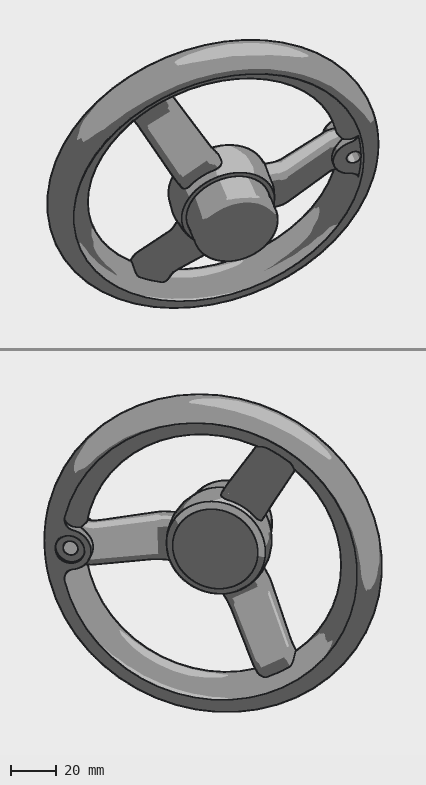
import cadquery as cq
import math


WHEEL_RADIUS = 75.0
RIM_RADIUS = 9.0
RIM_WIDTH = 2 * RIM_RADIUS
RIM_CENTRE = WHEEL_RADIUS - RIM_RADIUS
RIM_INNER = RIM_CENTRE - RIM_RADIUS
INNER_RIM_HALF_WIDTH = 6.5
STEP_ANGLE = 21.0

HUB_FACE_X = 13.5
HUB_RIDGE_X = 14.8
HUB_BULGE_X = 24.0
HUB_SHOULDER_X = 32.1
HUB_BACK_X = 47.0
HUB_FACE_RADIUS = 38.0 / 2
HUB_RIDGE_RADIUS = 22.0
HUB_BULGE_RADIUS = 22.8
HUB_SHOULDER_RADIUS = 21.1
HUB_NECK_RADIUS = HUB_FACE_RADIUS
HUB_BACK_FILLET = 3.0

SPOKE_COUNT = 3
SPOKE_BACK_X = 28.5
SPOKE_DEPTH = 11.0
SPOKE_BACK_SLOPE = 29.0
SPOKE_FACE_SLOPE = 26.5
SPOKE_BEND_RADIUS = 10.5
SPOKE_INNER_BEND = 24.0
SPOKE_OUTER_BEND = 51.3
SPOKE_END = 63.0
SPOKE_HUB_WIDTH = 21.1
SPOKE_RIM_WIDTH = 19.8
SPOKE_EDGE_FILLET = 4.0

BOSS_CENTRE = 62.0
BOSS_DIAMETER = 18.9
BOSS_LENGTH = 16.5
BOSS_BLEND = 5.0
BORE_DIAMETER = 6.6
COUNTERBORE_DIAMETER = 13.0
COUNTERBORE_DEPTH = 1.5


def revolve_about_axis(profile):
    """Close an XY profile (X along the wheel axis, Y radial) and revolve it about X."""
    return profile.close().revolve(360, (0, 0, 0), (1, 0, 0))


def cylinder(diameter, length, offset=0.0):
    """Cylinder along X starting at X = 0, with its axis shifted along Y by the offset."""
    return cq.Workplane("YZ").center(offset, 0).circle(diameter / 2).extrude(length)


def arc_points(centre, radius, angles):
    """Points on a circle at the given angles in degrees."""
    return [
        (
            centre[0] + radius * math.cos(math.radians(angle)),
            centre[1] + radius * math.sin(math.radians(angle)),
        )
        for angle in angles
    ]


def make_rim():
    profile = (
        cq.Workplane("XY")
        .moveTo(0, RIM_CENTRE)
        .threePointArc((RIM_RADIUS, WHEEL_RADIUS), (RIM_WIDTH, RIM_CENTRE))
    )
    step_angle = math.radians(STEP_ANGLE)
    back_step_start = (RIM_WIDTH, RIM_CENTRE)
    back_step_end = (
        RIM_RADIUS + INNER_RIM_HALF_WIDTH * math.cos(step_angle),
        RIM_CENTRE - RIM_RADIUS * math.sin(step_angle),
    )
    ellipse_tangent = (
        INNER_RIM_HALF_WIDTH * math.sin(step_angle),
        RIM_RADIUS * math.cos(step_angle),
    )
    back_step = cq.Edge.makeTangentArc(
        cq.Vector(*back_step_end), cq.Vector(*ellipse_tangent), cq.Vector(*back_step_start)
    )
    step_middle = back_step.positionAt(0.5)
    profile = (
        profile
        .threePointArc((step_middle.x, step_middle.y), back_step_end)
        .ellipseArc(
            INNER_RIM_HALF_WIDTH,
            RIM_RADIUS,
            angle1=180 + STEP_ANGLE,
            angle2=360 - STEP_ANGLE,
            sense=-1,
        )
        .tangentArcPoint((0, RIM_CENTRE), relative=False)
    )
    return revolve_about_axis(profile)


def make_hub():
    profile = (
        cq.Workplane("XY")
        .moveTo(HUB_FACE_X, 0)
        .lineTo(HUB_FACE_X, HUB_FACE_RADIUS)
        .lineTo(HUB_RIDGE_X, HUB_RIDGE_RADIUS)
        .threePointArc((HUB_BULGE_X, HUB_BULGE_RADIUS), (HUB_SHOULDER_X, HUB_SHOULDER_RADIUS))
        .lineTo(HUB_SHOULDER_X, HUB_NECK_RADIUS)
        .lineTo(HUB_BACK_X, HUB_NECK_RADIUS)
        .lineTo(HUB_BACK_X, 0)
    )
    return revolve_about_axis(profile).faces(">X").edges().fillet(HUB_BACK_FILLET)


def spoke_bends(hub_x, slope):
    """Points of the two bends of one spoke surface, from the hub outward."""
    angle = math.radians(slope)
    bend_run = SPOKE_BEND_RADIUS * math.sin(angle)
    bend_drop = SPOKE_BEND_RADIUS * (1 - math.cos(angle))
    slope_run = SPOKE_OUTER_BEND - SPOKE_INNER_BEND - bend_run
    rim_x = hub_x - slope_run * math.tan(angle) - 2 * bend_drop
    inner_centre = (hub_x - SPOKE_BEND_RADIUS, SPOKE_INNER_BEND)
    outer_centre = (rim_x + SPOKE_BEND_RADIUS, SPOKE_OUTER_BEND + bend_run)
    inner = arc_points(inner_centre, SPOKE_BEND_RADIUS, (0, slope / 2, slope))
    outer = arc_points(outer_centre, SPOKE_BEND_RADIUS, (180 + slope, 180 + slope / 2, 180))
    return inner, outer


def make_spoke():
    """Dished spoke along +Y, tapering toward the rim, with rounded long edges."""
    face_hub_x = SPOKE_BACK_X - SPOKE_DEPTH
    back_inner, back_outer = spoke_bends(SPOKE_BACK_X, SPOKE_BACK_SLOPE)
    face_inner, face_outer = spoke_bends(face_hub_x, SPOKE_FACE_SLOPE)
    side_shape = (
        cq.Workplane("XY")
        .moveTo(SPOKE_BACK_X, 0)
        .lineTo(*back_inner[0])
        .threePointArc(back_inner[1], back_inner[2])
        .lineTo(*back_outer[0])
        .threePointArc(back_outer[1], back_outer[2])
        .lineTo(back_outer[2][0], SPOKE_END)
        .lineTo(face_outer[2][0], SPOKE_END)
        .lineTo(*face_outer[2])
        .threePointArc(face_outer[1], face_outer[0])
        .lineTo(*face_inner[2])
        .threePointArc(face_inner[1], face_inner[0])
        .lineTo(face_hub_x, 0)
        .close()
        .extrude(SPOKE_HUB_WIDTH, both=True)
    )
    taper = (SPOKE_HUB_WIDTH - SPOKE_RIM_WIDTH) / 2 / (RIM_INNER - HUB_BULGE_RADIUS)
    axis_half_width = SPOKE_HUB_WIDTH / 2 + taper * HUB_BULGE_RADIUS
    end_half_width = axis_half_width - taper * SPOKE_END
    tapered_plan = (
        cq.Workplane("YZ")
        .moveTo(0, -axis_half_width)
        .lineTo(SPOKE_END, -end_half_width)
        .lineTo(SPOKE_END, end_half_width)
        .lineTo(0, axis_half_width)
        .close()
        .extrude(HUB_BACK_X)
    )
    long_edges = "not (|X or |Z)"
    return side_shape.intersect(tapered_plan).edges(long_edges).fillet(SPOKE_EDGE_FILLET)


def make_boss():
    """Boss flush with the front of the rim, blended into the step inside the rim centre line."""
    outer_ring = cylinder(2 * WHEEL_RADIUS, BOSS_LENGTH).cut(cylinder(2 * RIM_CENTRE, BOSS_LENGTH))
    boss = outer_ring.union(cylinder(BOSS_DIAMETER, BOSS_LENGTH, BOSS_CENTRE))
    around_boss = cq.selectors.BoxSelector(
        (0, BOSS_CENTRE - BOSS_DIAMETER, -BOSS_DIAMETER),
        (BOSS_LENGTH, RIM_CENTRE + BOSS_BLEND, BOSS_DIAMETER),
    )
    boss = boss.edges("|X").edges(around_boss).fillet(BOSS_BLEND)
    return boss.intersect(cylinder(2 * RIM_CENTRE, BOSS_LENGTH))


result = make_rim().union(make_hub())
spoke = make_spoke()
for index in range(SPOKE_COUNT):
    result = result.union(spoke.rotate((0, 0, 0), (1, 0, 0), index * 360 / SPOKE_COUNT))
result = result.union(make_boss())
result = result.cut(cylinder(BORE_DIAMETER, RIM_WIDTH, BOSS_CENTRE))
result = result.cut(cylinder(COUNTERBORE_DIAMETER, COUNTERBORE_DEPTH, BOSS_CENTRE))